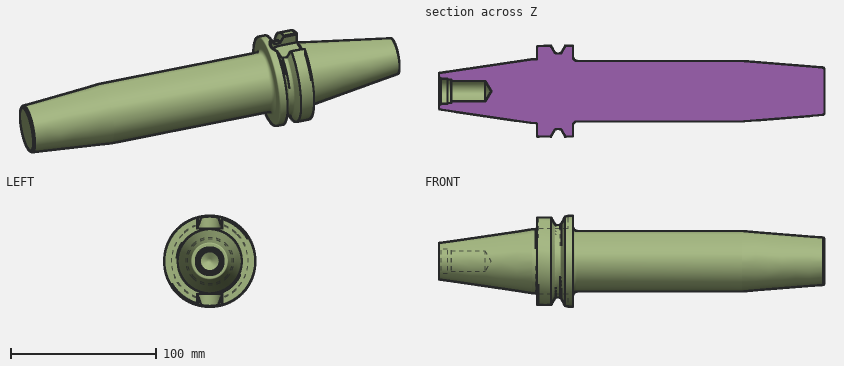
import cadquery as cq
import math

total_length = 265.5

shank_length = 64.2
shank_end_radius = 12.7
shank_end_fillet = 0.8
taper_ratio = 7 / 24
shank_large_radius = shank_end_radius + shank_length * taper_ratio / 2
collar_fillet = 0.8

flange_start = 67.5
flange_width = 25.0
flange_end = flange_start + flange_width
flange_diameter = 63.0
flange_radius = flange_diameter / 2
front_rim_fillet = 1.0
rear_rim_fillet = 0.93
groove_center = 82.0
groove_mouth_width = 9.8
groove_floor_radius = 26.3
groove_half_angle = math.radians(30)
groove_fillet = 1.0

slot_width = 16.2
slot_floor_height = 22.5
slot_end = 89.0
slot_chamfer = 0.8

body_radius = 21.0
neck_fillet = 2.7
nose_start = 208.5
nose_end_radius = 16.5
nose_chamfer = 1.0

mouth_radius = 9.5
mouth_depth = 1.5
counterbore_radius = 8.5
counterbore_depth = 5.8
thread_lead_radius = 8.0
thread_lead_depth = 8.2
countersink_length = 0.5
bore_radius = 7.0
bore_depth = 31.8
drill_half_angle = math.radians(59)


def revolve_about_x(profile):
    return profile.close().revolve(360, (0, 0, 0), (1, 0, 0))


def make_holder():
    groove_depth = flange_radius - groove_floor_radius
    mouth_half = groove_mouth_width / 2
    floor_half = mouth_half - groove_depth * math.tan(groove_half_angle)
    fillet_setback = groove_fillet * math.tan((math.pi / 2 - groove_half_angle) / 2)
    wall_fillet_half = floor_half + fillet_setback * math.sin(groove_half_angle)
    wall_fillet_radius = groove_floor_radius + fillet_setback * math.cos(groove_half_angle)
    floor_fillet_half = floor_half - fillet_setback
    profile = (
        cq.Workplane("XY")
        .moveTo(0, 0)
        .lineTo(0, shank_end_radius - shank_end_fillet)
        .radiusArc((shank_end_fillet, shank_end_radius), shank_end_fillet)
        .lineTo(shank_length, shank_large_radius)
        .lineTo(flange_start - collar_fillet, shank_large_radius)
        .radiusArc((flange_start, shank_large_radius + collar_fillet), -collar_fillet)
        .lineTo(flange_start, flange_radius - front_rim_fillet)
        .radiusArc((flange_start + front_rim_fillet, flange_radius), front_rim_fillet)
        .lineTo(groove_center - mouth_half, flange_radius)
        .lineTo(groove_center - wall_fillet_half, wall_fillet_radius)
        .radiusArc((groove_center - floor_fillet_half, groove_floor_radius), -groove_fillet)
        .lineTo(groove_center + floor_fillet_half, groove_floor_radius)
        .radiusArc((groove_center + wall_fillet_half, wall_fillet_radius), -groove_fillet)
        .lineTo(groove_center + mouth_half, flange_radius)
        .lineTo(flange_end - rear_rim_fillet, flange_radius)
        .radiusArc((flange_end, flange_radius - rear_rim_fillet), rear_rim_fillet)
        .lineTo(flange_end, body_radius + neck_fillet)
        .radiusArc((flange_end + neck_fillet, body_radius), -neck_fillet)
        .lineTo(nose_start, body_radius)
        .lineTo(total_length - nose_chamfer, nose_end_radius)
        .lineTo(total_length, nose_end_radius - nose_chamfer)
        .lineTo(total_length, 0)
    )
    return revolve_about_x(profile)


def make_stud_hole():
    countersink_end = thread_lead_depth + countersink_length
    tip_depth = bore_depth + bore_radius / math.tan(drill_half_angle)
    profile = (
        cq.Workplane("XY")
        .moveTo(0, 0)
        .lineTo(0, mouth_radius)
        .lineTo(mouth_depth, counterbore_radius)
        .lineTo(counterbore_depth, counterbore_radius)
        .lineTo(counterbore_depth, thread_lead_radius)
        .lineTo(thread_lead_depth, thread_lead_radius)
        .lineTo(countersink_end, bore_radius)
        .lineTo(bore_depth, bore_radius)
        .lineTo(tip_depth, 0)
    )
    return revolve_about_x(profile)


def make_drive_slot():
    half_width = slot_width / 2
    return (
        cq.Workplane("XY")
        .workplane(offset=slot_floor_height)
        .moveTo(flange_start - collar_fillet, -half_width)
        .lineTo(slot_end - half_width, -half_width)
        .threePointArc((slot_end, 0), (slot_end - half_width, half_width))
        .lineTo(flange_start - collar_fillet, half_width)
        .close()
        .extrude(flange_radius)
    )


def in_box(first_corner, second_corner):
    return cq.selectors.BoxSelector(first_corner, second_corner)


def cut_drive_slot(holder):
    margin = 0.3
    half_width = slot_width / 2
    holder = holder.cut(make_drive_slot())
    for wall_y in (-half_width, half_width):
        land_edges = in_box(
            (flange_start - margin, wall_y - margin, slot_floor_height + margin),
            (groove_center - groove_mouth_width / 2, wall_y + margin, flange_radius),
        )
        holder = holder.edges(land_edges).chamfer(slot_chamfer)
    rear_edge = in_box(
        (groove_center + groove_mouth_width / 2, -half_width, groove_floor_radius),
        (slot_end + margin, half_width, flange_radius + margin),
    )
    return holder.edges(rear_edge).chamfer(slot_chamfer)


result = make_holder().cut(make_stud_hole())
for _ in range(2):
    result = cut_drive_slot(result).rotate((0, 0, 0), (1, 0, 0), 180)